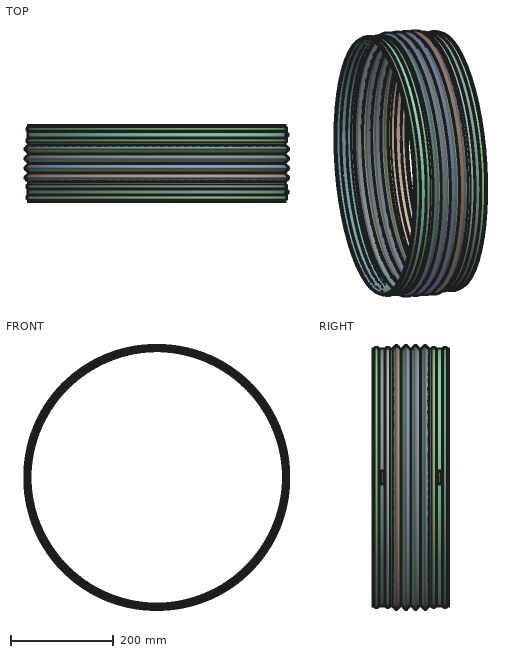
import cadquery as cq
import math

LENGTH = 150.0
INNER_DIAMETER = 500.0
WALL = 2.0

FOLD_COUNT = 4
FOLD_PITCH = 18.75
FOLD_WALL = 3.8
FOLD_FILLET = 1.25
FOLD_CREST_DIAMETER = 517.92

BEAD_WIDTH = 8.0
BEAD_HEIGHT = 3.0
BEAD_END_DISTANCES = (8.0, 30.0)

BAND_WIDTH = 10.0
BAND_THICKNESS = 0.3
HOUSING_LENGTH = 24.0
HOUSING_WIDTH = 12.0
HOUSING_HEIGHT = 2.5
SCREW_DIAMETER = 5.3
SCREW_LENGTH = 28.0
SCREW_AXIS_HEIGHT = 3.1

HALF_LENGTH = LENGTH / 2
INNER_RADIUS = INNER_DIAMETER / 2
OUTER_RADIUS = INNER_RADIUS + WALL
MID_WALL_RADIUS = INNER_RADIUS + WALL / 2
FOLD_DEPTH = FOLD_PITCH / 2
FOLD_PEAK_RADIUS = FOLD_CREST_DIAMETER / 2 + FOLD_FILLET * (math.sqrt(2) - 1)
LAST_PEAK_Y = (FOLD_COUNT - 1) / 2 * FOLD_PITCH
CLAMP_END_DISTANCE = sum(BEAD_END_DISTANCES) / len(BEAD_END_DISTANCES)


def revolve_about_y(section):
    """Spin a half-section in the XY plane about the Y axis."""
    return section.revolve(360, (0, 0, 0), (0, 1, 0))


def wall_line(collar_radius, peak_radius):
    """Corner points along one side of the wall, from the -Y end to the +Y end."""
    bellows_end_y = LAST_PEAK_Y + peak_radius - collar_radius
    valley_radius = peak_radius - FOLD_DEPTH
    points = [(collar_radius, -HALF_LENGTH), (collar_radius, -bellows_end_y)]
    for index in range(FOLD_COUNT):
        peak_y = index * FOLD_PITCH - LAST_PEAK_Y
        if index > 0:
            points.append((valley_radius, peak_y - FOLD_PITCH / 2))
        points.append((peak_radius, peak_y))
    points += [(collar_radius, bellows_end_y), (collar_radius, HALF_LENGTH)]
    return points


def make_sleeve():
    """Tube with rounded bellows folds between two plain collars."""
    outer_line = wall_line(OUTER_RADIUS, FOLD_PEAK_RADIUS)
    inner_line = wall_line(INNER_RADIUS, FOLD_PEAK_RADIUS - FOLD_WALL)
    section = cq.Workplane("XY").polyline(outer_line + inner_line[::-1]).close()
    sleeve = revolve_about_y(section)
    reach = 2 * FOLD_PEAK_RADIUS
    bellows_limit = LAST_PEAK_Y + FOLD_PITCH
    bellows_zone = cq.selectors.BoxSelector(
        (-reach, -bellows_limit, -reach),
        (reach, bellows_limit, reach),
    )
    return sleeve.edges("%CIRCLE").edges(bellows_zone).fillet(FOLD_FILLET)


def make_bead(centre_y):
    """Rounded ring standing on the outside of a collar."""
    start_y = centre_y - BEAD_WIDTH / 2
    end_y = centre_y + BEAD_WIDTH / 2
    section = (
        cq.Workplane("XY")
        .moveTo(MID_WALL_RADIUS, start_y)
        .lineTo(OUTER_RADIUS, start_y)
        .threePointArc((OUTER_RADIUS + BEAD_HEIGHT, centre_y), (OUTER_RADIUS, end_y))
        .lineTo(MID_WALL_RADIUS, end_y)
        .close()
    )
    return revolve_about_y(section)


def make_clamp(centre_y):
    """Hose clamp: a thin band with a screw housing on the +X side, screw along Z."""
    band_radius = OUTER_RADIUS + BAND_THICKNESS
    band_section = cq.Workplane("XY").moveTo((MID_WALL_RADIUS + band_radius) / 2, centre_y)
    band = revolve_about_y(band_section.rect(band_radius - MID_WALL_RADIUS, BAND_WIDTH))

    housing_top = OUTER_RADIUS + HOUSING_HEIGHT
    housing = (
        cq.Workplane("XY")
        .moveTo((MID_WALL_RADIUS + housing_top) / 2, centre_y)
        .rect(housing_top - MID_WALL_RADIUS, HOUSING_WIDTH)
        .extrude(HOUSING_LENGTH / 2, both=True)
    )
    screw = (
        cq.Workplane("XY")
        .moveTo(OUTER_RADIUS + SCREW_AXIS_HEIGHT, centre_y)
        .circle(SCREW_DIAMETER / 2)
        .extrude(SCREW_LENGTH / 2, both=True)
    )
    return band.union(housing).union(screw)


result = make_sleeve()
for side in (-1, 1):
    for end_distance in BEAD_END_DISTANCES:
        result = result.union(make_bead(side * (HALF_LENGTH - end_distance)))
    result = result.union(make_clamp(side * (HALF_LENGTH - CLAMP_END_DISTANCE)))